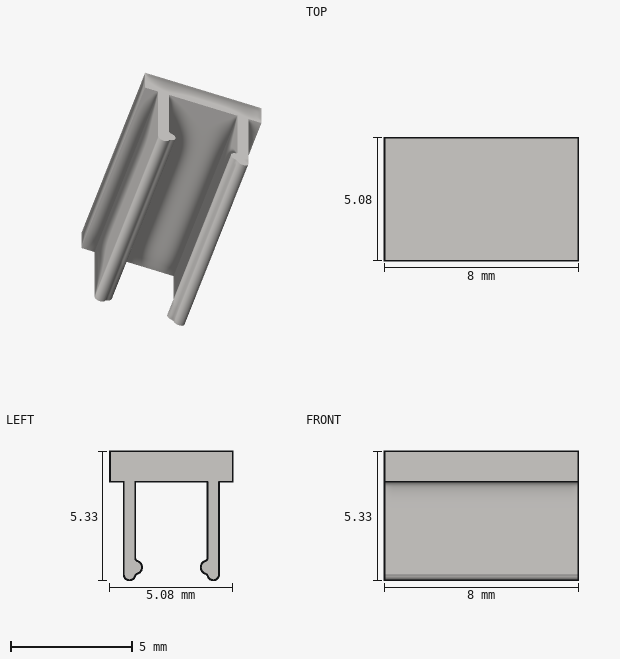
import cadquery as cq
import math

length = 8.0
plate_width = 5.08
plate_thickness = 1.27
total_height = 5.33

leg_outer_y = 1.97
leg_thickness = 0.48
leg_inner_y = leg_outer_y - leg_thickness

tip_radius = leg_thickness / 2
bead_radius = 0.28
bead_height = 0.54
upper_blend_radius = 0.12
lower_blend_radius = 0.16

tip_center = (leg_outer_y - tip_radius, tip_radius)
bead_center = (leg_inner_y, bead_height)
plate_bottom = total_height - plate_thickness


def point_toward(start, target, distance):
    """Point at the given distance from start on the line to target."""
    span = math.dist(start, target)
    return tuple(a + (b - a) * distance / span for a, b in zip(start, target))


def lower_blend_center():
    """Center of the arc touching the tip and bead circles from inside the channel."""
    span = math.dist(tip_center, bead_center)
    tip_reach = tip_radius + lower_blend_radius
    bead_reach = bead_radius + lower_blend_radius
    along = (tip_reach**2 - bead_reach**2 + span**2) / (2 * span)
    across = math.sqrt(tip_reach**2 - along**2)
    unit_y = (bead_center[0] - tip_center[0]) / span
    unit_z = (bead_center[1] - tip_center[1]) / span
    return (
        tip_center[0] + along * unit_y - across * unit_z,
        tip_center[1] + along * unit_z + across * unit_y,
    )


def make_leg():
    """Leg on the +Y side, with its bead facing the channel."""
    upper_rise = math.sqrt((bead_radius + upper_blend_radius) ** 2 - upper_blend_radius**2)
    upper_center = (leg_inner_y - upper_blend_radius, bead_height + upper_rise)
    upper_start = (leg_inner_y, upper_center[1])
    upper_end = point_toward(bead_center, upper_center, bead_radius)
    upper_mid = point_toward(upper_center, (
        (upper_start[0] + upper_end[0]) / 2,
        (upper_start[1] + upper_end[1]) / 2,
    ), upper_blend_radius)

    lower_center = lower_blend_center()
    lower_start = point_toward(bead_center, lower_center, bead_radius)
    lower_end = point_toward(tip_center, lower_center, tip_radius)
    lower_mid = point_toward(lower_center, (
        (lower_start[0] + lower_end[0]) / 2,
        (lower_start[1] + lower_end[1]) / 2,
    ), lower_blend_radius)

    bead_apex = (leg_inner_y - bead_radius, bead_height)
    tip_bottom = (tip_center[0], 0)
    return (
        cq.Workplane("YZ")
        .moveTo(leg_outer_y, total_height)
        .lineTo(leg_inner_y, total_height)
        .lineTo(*upper_start)
        .threePointArc(upper_mid, upper_end)
        .threePointArc(bead_apex, lower_start)
        .threePointArc(lower_mid, lower_end)
        .threePointArc(tip_bottom, (leg_outer_y, tip_radius))
        .close()
        .extrude(length / 2, both=True)
    )


plate = (
    cq.Workplane("XY")
    .workplane(offset=plate_bottom)
    .rect(length, plate_width)
    .extrude(plate_thickness)
)
leg = make_leg()
result = plate.union(leg).union(leg.mirror("XZ"))